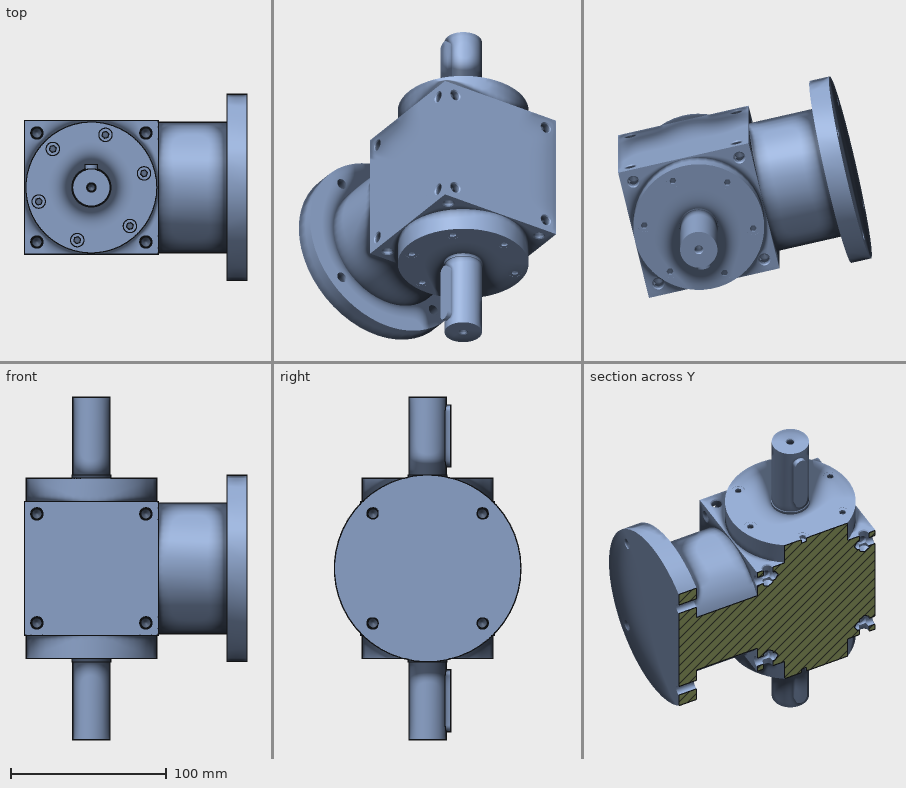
import cadquery as cq
import math

CUBE_SIDE = 86.0
HALF_CUBE = CUBE_SIDE / 2

COVER_DIAMETER = 84.0
COVER_HEIGHT = 15.0
COVER_TOP = HALF_CUBE + COVER_HEIGHT

NECK_DIAMETER = 84.0
FLANGE_DIAMETER = 120.0
FLANGE_THICKNESS = 13.0
OVERALL_LENGTH = 143
FLANGE_END = OVERALL_LENGTH - HALF_CUBE
FLANGE_START = FLANGE_END - FLANGE_THICKNESS
FLANGE_HOLE_DIAMETER = 7.0
FLANGE_HOLE_COUNT = 4
FLANGE_FIRST_ANGLE = 45
FLANGE_BOLT_CIRCLE = 100.0

CORNER_HOLE_PITCH = 70.0
CORNER_HOLE_DIAMETER = 6.5
CORNER_MOUTH_DIAMETER = 8.0
CORNER_HOLE_DEPTH = 13.2
DRILL_TIP_ANGLE = 118

SCREW_COUNT = 6
SCREW_CIRCLE_RADIUS = 35.0
SCREW_FIRST_ANGLE = 15
SCREW_HEAD_DIAMETER = 8.5
SCREW_HEAD_RECESS = 0.1
SCREW_SOCKET_WIDTH = 4.0
SOCKET_SIDES = 6
SOCKET_CORNER_DIAMETER = SCREW_SOCKET_WIDTH / math.cos(math.pi / SOCKET_SIDES)
SCREW_SOCKET_DEPTH = 3.0

SHAFT_DIAMETER = 24.0
SHAFT_RADIUS = SHAFT_DIAMETER / 2
SHAFT_LENGTH = 220
SHAFT_END = SHAFT_LENGTH / 2
COLLAR_DIAMETER = 25.0
COLLAR_HEIGHT = 2.0
COLLAR_TOP = COVER_TOP + COLLAR_HEIGHT
CENTRE_HOLE_DIAMETER = 4.8
CENTRE_MOUTH_DIAMETER = 6.0
CENTRE_HOLE_DEPTH = 11.0

KEY_WIDTH = 8.1
KEY_LENGTH = 40.0
KEY_HEIGHT = 7.0
KEY_PROTRUSION = 2.9
KEY_TOP = SHAFT_RADIUS + KEY_PROTRUSION
KEY_MIDDLE = (COLLAR_TOP + SHAFT_END) / 2

BOTH_SIDES = (-1, 1)


def blind_hole(plane, diameter, mouth_diameter, depth):
    """Drilled hole with a chamfered mouth and a conical tip, going into the plane from its origin."""
    radius = diameter / 2
    mouth_radius = mouth_diameter / 2
    chamfer = mouth_radius - radius
    tip_length = radius / math.tan(math.radians(DRILL_TIP_ANGLE / 2))
    profile = [
        (0, 0),
        (mouth_radius, 0),
        (radius, -chamfer),
        (radius, -depth),
        (0, -depth - tip_length),
    ]
    half_section = cq.Workplane("XY").polyline(profile).close()
    cutter = half_section.revolve(360, (0, 0, 0), (0, 1, 0)).rotate((0, 0, 0), (1, 0, 0), 90)
    return cutter.val().moved(cq.Location(plane))


def corner_holes(normal, x_direction):
    """Four corner holes of the cube face with the given outward normal."""
    centre = cq.Vector(*normal) * HALF_CUBE
    face = cq.Workplane(cq.Plane(centre, xDir=x_direction, normal=normal))
    spots = face.rect(CORNER_HOLE_PITCH, CORNER_HOLE_PITCH, forConstruction=True).vertices().vals()
    planes = [cq.Plane(spot.Center(), xDir=x_direction, normal=normal) for spot in spots]
    return [
        blind_hole(plane, CORNER_HOLE_DIAMETER, CORNER_MOUTH_DIAMETER, CORNER_HOLE_DEPTH)
        for plane in planes
    ]


def outer_face(end, height):
    """Workplane facing away from the cube at the given height above or below it."""
    return cq.Workplane(cq.Plane((0, 0, end * height), xDir=(1, 0, 0), normal=(0, 0, end)))


def screw_recesses(end):
    """Ring of shallow head recesses, each with a hexagon socket, in one cover."""
    first_angle = end * SCREW_FIRST_ANGLE
    face = outer_face(end, COVER_TOP)
    spots = face.polarArray(SCREW_CIRCLE_RADIUS, first_angle, 360, SCREW_COUNT)
    heads = spots.circle(SCREW_HEAD_DIAMETER / 2).extrude(-SCREW_HEAD_RECESS)
    spots = face.polarArray(SCREW_CIRCLE_RADIUS, first_angle, 360, SCREW_COUNT)
    sockets = spots.polygon(SOCKET_SIDES, SOCKET_CORNER_DIAMETER).extrude(-SCREW_SOCKET_DEPTH)
    return heads.union(sockets)


def make_flange():
    """Neck from the cube to the flange plate, with the bolt holes through the plate."""
    neck_length = FLANGE_START - HALF_CUBE
    neck = cq.Workplane("YZ", origin=(HALF_CUBE, 0, 0)).circle(NECK_DIAMETER / 2).extrude(neck_length)
    plate_plane = cq.Workplane("YZ", origin=(FLANGE_START, 0, 0))
    plate = plate_plane.circle(FLANGE_DIAMETER / 2).extrude(FLANGE_THICKNESS)
    spots = plate_plane.polarArray(FLANGE_BOLT_CIRCLE / 2, FLANGE_FIRST_ANGLE, 360, FLANGE_HOLE_COUNT)
    holes = spots.circle(FLANGE_HOLE_DIAMETER / 2).extrude(FLANGE_THICKNESS)
    return neck.union(plate.cut(holes))


def make_shaft_blank():
    """Stepped shaft without keyways or centre holes."""
    blank = cq.Workplane("XY").circle(SHAFT_RADIUS).extrude(SHAFT_END, both=True)
    collars = cq.Workplane("XY").circle(COLLAR_DIAMETER / 2).extrude(COLLAR_TOP, both=True)
    return blank.union(collars)


def make_key(end):
    """Round-ended key lying along Z, partly sunk in the shaft."""
    plane = cq.Plane((0, KEY_TOP, end * KEY_MIDDLE), xDir=(0, 0, 1), normal=(0, 1, 0))
    return cq.Workplane(plane).slot2D(KEY_LENGTH, KEY_WIDTH).extrude(-KEY_HEIGHT)


def make_housing():
    """Cube with covers and flange, bored for the shaft."""
    housing = cq.Workplane("XY").box(CUBE_SIDE, CUBE_SIDE, CUBE_SIDE)
    covers = cq.Workplane("XY").circle(COVER_DIAMETER / 2).extrude(COVER_TOP, both=True)
    housing = housing.union(covers).union(make_flange())
    for side in BOTH_SIDES:
        housing = housing.cut(screw_recesses(side))
        faces = [((0, 0, side), (1, 0, 0)), ((0, side, 0), (1, 0, 0)), ((side, 0, 0), (0, 1, 0))]
        for normal, edge_direction in faces:
            for hole in corner_holes(normal, edge_direction):
                housing = housing.cut(cq.Workplane(hole))
    return housing.cut(make_shaft_blank())


def make_shaft(keys):
    """Shaft with a centre hole in each end and a keyway fitting each key."""
    shaft = make_shaft_blank()
    for end in BOTH_SIDES:
        end_plane = outer_face(end, SHAFT_END).plane
        hole = blind_hole(end_plane, CENTRE_HOLE_DIAMETER, CENTRE_MOUTH_DIAMETER, CENTRE_HOLE_DEPTH)
        shaft = shaft.cut(cq.Workplane(hole))
    for key in keys:
        shaft = shaft.cut(key)
    return shaft


keys = [make_key(end) for end in BOTH_SIDES]
shaft = make_shaft(keys)
housing = make_housing()

result = cq.Compound.makeCompound([housing.val(), shaft.val(), *[key.val() for key in keys]])